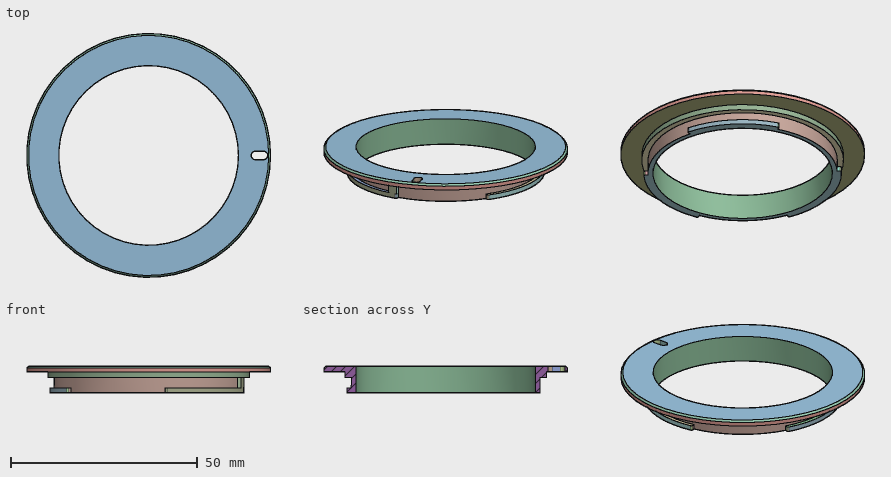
import cadquery as cq
import math

total_height = 7.2
flange_thickness = 1.55
collar_thickness = 1.55
tab_thickness = 1.3
flange_bottom = total_height - flange_thickness
collar_bottom = flange_bottom - collar_thickness

flange_diameter = 65.3
collar_diameter = 54.0
neck_diameter = 50.7
bore_diameter = 48.0
flange_chamfer = 0.5
tab_radius = 26.45
tab_corner_radius = 0.4

tab_spans = [(-80, -15), (40, 101), (159, 214.7)]
stop_span = (-20.5, -15)

slot_length = 4.4
slot_width = 2.2
slot_center_x = 29.65


def disc(diameter, bottom, height):
    return cq.Workplane("XY").workplane(offset=bottom).circle(diameter / 2).extrude(height)


def polar(radius, angle):
    """Point at a radius and an angle in degrees."""
    return radius * math.cos(math.radians(angle)), radius * math.sin(math.radians(angle))


def ring_sector(span, bottom, height):
    """Arc-shaped block with radial ends, rooted in the wall of the neck."""
    start, end = span
    middle = (start + end) / 2
    root_radius = (bore_diameter + neck_diameter) / 4
    return (
        cq.Workplane("XY").workplane(offset=bottom)
        .moveTo(*polar(root_radius, start))
        .lineTo(*polar(tab_radius, start))
        .threePointArc(polar(tab_radius, middle), polar(tab_radius, end))
        .lineTo(*polar(root_radius, end))
        .threePointArc(polar(root_radius, middle), polar(root_radius, start))
        .close()
        .extrude(height)
    )


def bayonet_tab(span):
    """Tab with its two outer vertical corners rounded."""
    block = ring_sector(span, 0, tab_thickness)
    for angle in span:
        corner = polar(tab_radius, angle)
        nearest = cq.selectors.NearestToPointSelector((*corner, tab_thickness / 2))
        block = block.edges("|Z").edges(nearest).fillet(tab_corner_radius)
    return block


flange = disc(flange_diameter, flange_bottom, flange_thickness).faces(">Z").edges().chamfer(flange_chamfer)
collar = disc(collar_diameter, collar_bottom, collar_thickness)
neck = disc(neck_diameter, 0, collar_bottom)
body = flange.union(collar).union(neck)
body = body.cut(disc(bore_diameter, 0, total_height))

for tab_span in tab_spans:
    body = body.union(bayonet_tab(tab_span))

body = body.union(ring_sector(stop_span, tab_thickness, collar_bottom - tab_thickness))

slot = (
    cq.Workplane("XY").workplane(offset=flange_bottom)
    .center(slot_center_x, 0)
    .slot2D(slot_length, slot_width)
    .extrude(flange_thickness)
)
result = body.cut(slot)